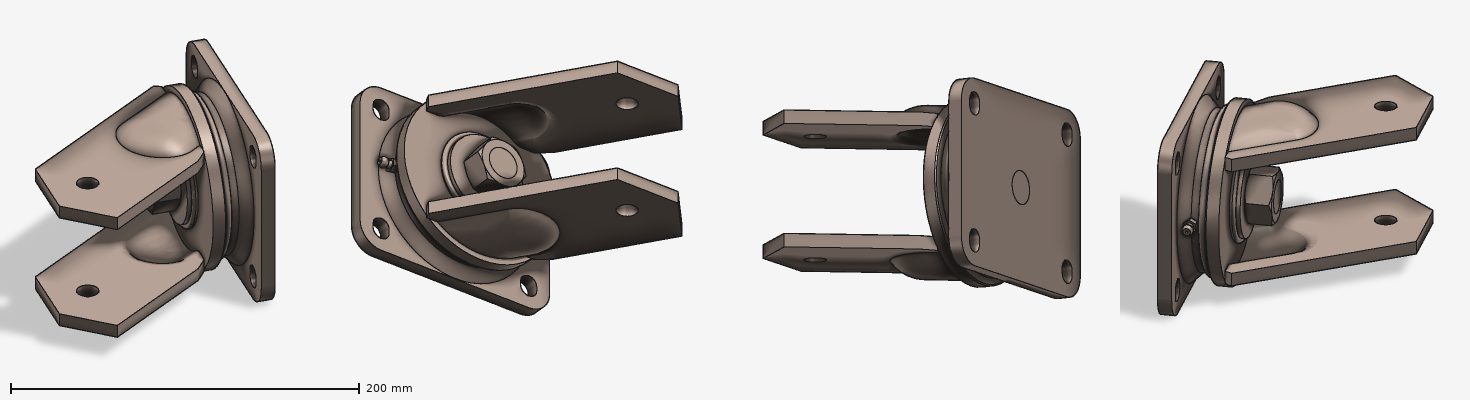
import cadquery as cq
import math


PLATE_WIDTH = 135.1
PLATE_HEIGHT = 110.0
PLATE_THICKNESS = 8.5
PLATE_CORNER_RADIUS = 15.0
SLOT_SPACING_X = 105.2
SLOT_SPACING_Z = 80.3
SLOT_WIDTH = 11.5
SLOT_LENGTH = 13.5
CONE_RADIUS = 54.7
HUB_RADIUS = 47.8
CONE_END = PLATE_THICKNESS + CONE_RADIUS - HUB_RADIUS

DISC_START = 24.9
DISC_END = 33.1
WASHER_END = 39.2
NUT_END = 55.3

DISC_RADIUS = 54.3
DISC_CHAMFER = 0.8
HUB_SEAL_TUBE_RADIUS = 2.5
WASHER_RADIUS = 25.8
WASHER_SEAL_TUBE_RADIUS = 1.9
WASHER_SEAL_RADIUS = 27.1

BOLT_RADIUS = 9.9
NUT_ACROSS_FLATS = 30.0
NUT_CHAMFER_ANGLE = 30.0
NUT_TURN = -6.5

LEG_ANGLE = 55.0
LEG_THICKNESS = 8.0
LEG_INNER_Z = 32.2
LEG_OUTER_Z = LEG_INNER_Z + LEG_THICKNESS
LEG_ROOT_HALF_WIDTH = 38.2
LEG_LEFT_X = -40.2
LEG_LEFT_Y = -37.5
LEG_RIGHT_X = 46.9
LEG_END_Y = -131.3
LEG_TIP_X = 91.8
LEG_TIP_Y = -103.9
LEG_END_RIGHT_X = 68.8
AXLE_X = 49.9
AXLE_Y = -107.7
AXLE_HOLE_DIAMETER = 12.7

BULGE_RADIUS = 50.5
BULGE_LENGTH = 25.5
DOME_AXIS_Z = 23.6
SHEET_SIZE = 159.4

NIPPLE_Y = -15.1
NIPPLE_SEAT_X = -47.5
NIPPLE_HEX_X = -51.5
NIPPLE_NECK_X = -53.7
NIPPLE_BALL_X = -55.8
NIPPLE_RIM_X = -57.2
NIPPLE_TIP_X = -58.5
NIPPLE_HEX_ACROSS_FLATS = 7.5
NIPPLE_SHOULDER_RADIUS = 2.7
NIPPLE_NECK_RADIUS = 2.2
NIPPLE_BALL_RADIUS = 3.3
NIPPLE_RIM_RADIUS = 3.0
NIPPLE_TIP_RADIUS = 2.2
NIPPLE_BORE_RADIUS = 0.6

slope = math.radians(LEG_ANGLE)
slope_x = math.cos(slope)
slope_y = -math.sin(slope)


def cylinder(radius, start, end):
    """Cylinder about the swivel axis between two distances from the back of the plate."""
    return cq.Workplane("XZ", origin=(0, -start, 0)).circle(radius).extrude(end - start)


def hexagon_circumdiameter(across_flats):
    return across_flats / math.cos(math.radians(30))


def o_ring(ring_radius, tube_radius, distance):
    """Torus about the swivel axis."""
    center = cq.Vector(0, -distance, 0)
    return cq.Workplane(cq.Solid.makeTorus(ring_radius, tube_radius, center, cq.Vector(0, 1, 0)))


def make_bolt():
    return cylinder(BOLT_RADIUS, 0, NUT_END)


def make_nut():
    """Hexagon nut with its corners chamfered on both faces."""
    circumdiameter = hexagon_circumdiameter(NUT_ACROSS_FLATS)
    hexagon = (
        cq.Workplane("XZ", origin=(0, -WASHER_END, 0))
        .transformed(rotate=(0, 0, NUT_TURN))
        .polygon(6, circumdiameter)
        .extrude(NUT_END - WASHER_END)
    )
    corner_radius = circumdiameter / 2
    chamfer_width = corner_radius - NUT_ACROSS_FLATS / 2
    chamfer_drop = chamfer_width * math.tan(math.radians(NUT_CHAMFER_ANGLE))
    envelope = (
        cylinder(corner_radius, WASHER_END, NUT_END)
        .faces("<Y or >Y")
        .chamfer(chamfer_drop, chamfer_width)
    )
    return hexagon.intersect(envelope).cut(make_bolt())


def make_washer():
    return cylinder(WASHER_RADIUS, DISC_END, WASHER_END).cut(make_bolt())


def make_washer_seal():
    seal = o_ring(WASHER_SEAL_RADIUS, WASHER_SEAL_TUBE_RADIUS, DISC_END + WASHER_SEAL_TUBE_RADIUS)
    return seal.cut(cylinder(WASHER_RADIUS, DISC_END, WASHER_END))


def make_hub_seal():
    return o_ring(HUB_RADIUS, HUB_SEAL_TUBE_RADIUS, DISC_START - HUB_SEAL_TUBE_RADIUS)


def make_nipple():
    """Grease nipple pointing towards -X: hexagon foot, neck and bored ball head."""
    hexagon = (
        cq.Workplane("YZ", origin=(NIPPLE_SEAT_X, NIPPLE_Y, 0))
        .transformed(rotate=(0, 0, 90))
        .polygon(6, hexagon_circumdiameter(NIPPLE_HEX_ACROSS_FLATS))
        .extrude(NIPPLE_HEX_X - NIPPLE_SEAT_X)
    )
    head = (
        cq.Workplane("XY", origin=(0, NIPPLE_Y, 0))
        .moveTo(NIPPLE_HEX_X, 0)
        .lineTo(NIPPLE_HEX_X, NIPPLE_SHOULDER_RADIUS)
        .lineTo(NIPPLE_NECK_X, NIPPLE_NECK_RADIUS)
        .threePointArc((NIPPLE_BALL_X, NIPPLE_BALL_RADIUS), (NIPPLE_RIM_X, NIPPLE_RIM_RADIUS))
        .lineTo(NIPPLE_TIP_X, NIPPLE_TIP_RADIUS)
        .lineTo(NIPPLE_TIP_X, 0)
        .close()
        .revolve(360, (0, 0, 0), (1, 0, 0))
    )
    bore = (
        cq.Workplane("YZ", origin=(NIPPLE_TIP_X, NIPPLE_Y, 0))
        .circle(NIPPLE_BORE_RADIUS)
        .extrude(NIPPLE_SEAT_X - NIPPLE_TIP_X)
    )
    return hexagon.union(head).cut(bore)


def make_plate():
    """Mounting plate and hub, with seats for the hub seal, the nipple and the bolt."""
    plate = (
        cq.Workplane("XZ")
        .rect(PLATE_WIDTH, PLATE_HEIGHT)
        .extrude(PLATE_THICKNESS)
        .edges("|Y")
        .fillet(PLATE_CORNER_RADIUS)
    )
    slots = (
        cq.Workplane("XZ")
        .rect(SLOT_SPACING_X, SLOT_SPACING_Z, forConstruction=True)
        .vertices()
        .slot2D(SLOT_LENGTH, SLOT_WIDTH, 90)
        .extrude(PLATE_THICKNESS)
    )
    hub = (
        cq.Workplane("XY")
        .polyline([
            (0, 0),
            (CONE_RADIUS, 0),
            (CONE_RADIUS, -PLATE_THICKNESS),
            (HUB_RADIUS, -CONE_END),
            (HUB_RADIUS, -DISC_START),
            (0, -DISC_START),
        ])
        .close()
        .revolve(360, (0, 0, 0), (0, 1, 0))
    )
    return plate.cut(slots).union(hub).cut(make_hub_seal()).cut(make_nipple()).cut(make_bolt())


def bulge_form(inset, floor_z):
    """Barrel and dome of the bulge above a level, shrunk inwards by an inset."""
    half_width = BULGE_RADIUS * math.sin(slope) - inset
    half_height = BULGE_RADIUS - inset
    floor_angle = math.asin(floor_z / half_height)
    barrel_end = cq.Plane(
        origin=(BULGE_LENGTH * slope_x, -DISC_END + BULGE_LENGTH * slope_y, 0),
        xDir=(-slope_y, slope_x, 0),
        normal=(slope_x, slope_y, 0),
    )
    section = (
        cq.Workplane(barrel_end)
        .moveTo(half_width * math.cos(floor_angle), floor_z)
        .ellipseArc(
            half_width,
            half_height,
            math.degrees(floor_angle),
            180 - math.degrees(floor_angle),
            startAtCurrent=True,
        )
        .close()
        .val()
    )
    barrel = cq.Workplane(barrel_end).add(section).toPending().extrude(-SHEET_SIZE)
    dome = (
        cq.Workplane(barrel_end)
        .add(section)
        .toPending()
        .revolve(90, (0, DOME_AXIS_Z, 0), (1, DOME_AXIS_Z, 0))
    )
    above_floor = (
        cq.Workplane("XY", origin=(0, 0, floor_z))
        .rect(4 * SHEET_SIZE, 4 * SHEET_SIZE)
        .extrude(BULGE_RADIUS)
    )
    return barrel.union(dome.intersect(above_floor))


def make_pressed_sheet():
    """Oversized sheet with the bulge pressed into it and the inner rim of the bulge rounded."""
    sheet = (
        cq.Workplane("XY", origin=(0, -SHEET_SIZE / 2, LEG_INNER_Z))
        .rect(2 * SHEET_SIZE, SHEET_SIZE)
        .extrude(LEG_THICKNESS)
    )
    sheet = sheet.union(bulge_form(0, LEG_OUTER_Z)).cut(bulge_form(LEG_THICKNESS, LEG_INNER_Z))
    inner_edges = sheet.faces("<Z").edges().vals()
    rim = [
        edge for edge in inner_edges
        if abs(edge.Center().x) < SHEET_SIZE / 2 and -SHEET_SIZE / 2 < edge.Center().y < -1.6
    ]
    return sheet.newObject(rim).fillet(LEG_THICKNESS)


def make_leg():
    """Upper leg, trimmed from the pressed sheet."""
    outline = (
        cq.Workplane("XY", origin=(0, 0, LEG_INNER_Z))
        .polyline([
            (-LEG_ROOT_HALF_WIDTH, -DISC_END),
            (LEG_LEFT_X, LEG_LEFT_Y),
            (LEG_LEFT_X + (LEG_LEFT_Y - LEG_END_Y) / math.tan(slope), LEG_END_Y),
            (LEG_END_RIGHT_X, LEG_END_Y),
            (LEG_TIP_X, LEG_TIP_Y),
            (LEG_RIGHT_X, LEG_TIP_Y + (LEG_TIP_X - LEG_RIGHT_X) * math.tan(slope)),
            (LEG_ROOT_HALF_WIDTH, -DISC_END),
        ])
        .close()
        .extrude(BULGE_RADIUS)
    )
    hole = (
        cq.Workplane("XY", origin=(AXLE_X, AXLE_Y, LEG_INNER_Z))
        .circle(AXLE_HOLE_DIAMETER / 2)
        .extrude(LEG_THICKNESS)
    )
    return make_pressed_sheet().intersect(outline).cut(hole)


def make_fork():
    """Fork disc with its two mirrored legs."""
    disc = (
        cylinder(DISC_RADIUS, DISC_START, DISC_END)
        .faces(">Y")
        .chamfer(DISC_CHAMFER)
        .cut(make_bolt())
    )
    leg = make_leg()
    return disc.union(leg).union(leg.mirror("XY"))


plate = make_plate()
hub_seal = make_hub_seal()
nipple = make_nipple()
fork = make_fork()
washer_seal = make_washer_seal()
washer = make_washer()
nut = make_nut()
bolt = make_bolt()

result = cq.Compound.makeCompound([
    *plate.vals(),
    *hub_seal.vals(),
    *nipple.vals(),
    *fork.solids().vals(),
    *washer_seal.solids().vals(),
    *washer.vals(),
    *nut.solids().vals(),
    *bolt.vals(),
])